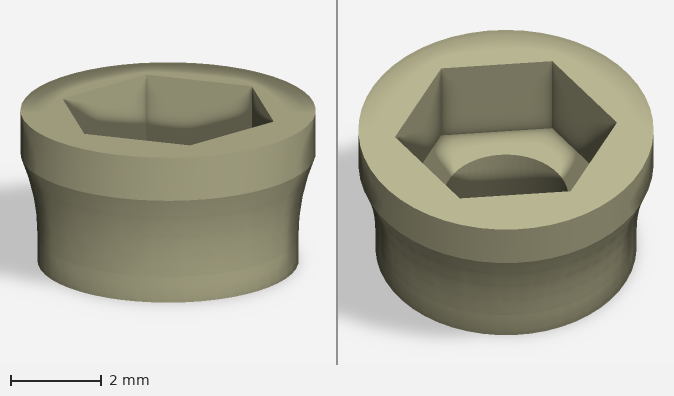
import cadquery as cq
import math

rim_diameter = 6.5
base_diameter = 5.75
total_height = 3.5
rim_height = 1.0
base_height = 0.6
bore_diameter = 2.75
hex_across_flats = 4.25
hex_depth = 2.0

rim_radius = rim_diameter / 2
base_radius = base_diameter / 2
flare_top = total_height - rim_height
hex_across_corners = hex_across_flats / math.cos(math.pi / 6)


def make_body():
    """Revolve the base, the concave flare and the rim around Z."""
    return (
        cq.Workplane("XZ")
        .lineTo(base_radius, 0)
        .lineTo(base_radius, base_height)
        .tangentArcPoint((rim_radius, flare_top), relative=False)
        .lineTo(rim_radius, total_height)
        .lineTo(0, total_height)
        .close()
        .revolve(360, (0, 0, 0), (0, 1, 0))
    )


def make_bore():
    """Round hole through the whole height."""
    return cq.Workplane("XY").circle(bore_diameter / 2).extrude(total_height)


def make_hex_pocket():
    """Hexagonal nut pocket open at the top, with two corners on the X axis."""
    return (
        cq.Workplane("XY")
        .workplane(offset=total_height - hex_depth)
        .polygon(6, hex_across_corners)
        .extrude(hex_depth)
    )


result = make_body().cut(make_bore()).cut(make_hex_pocket())